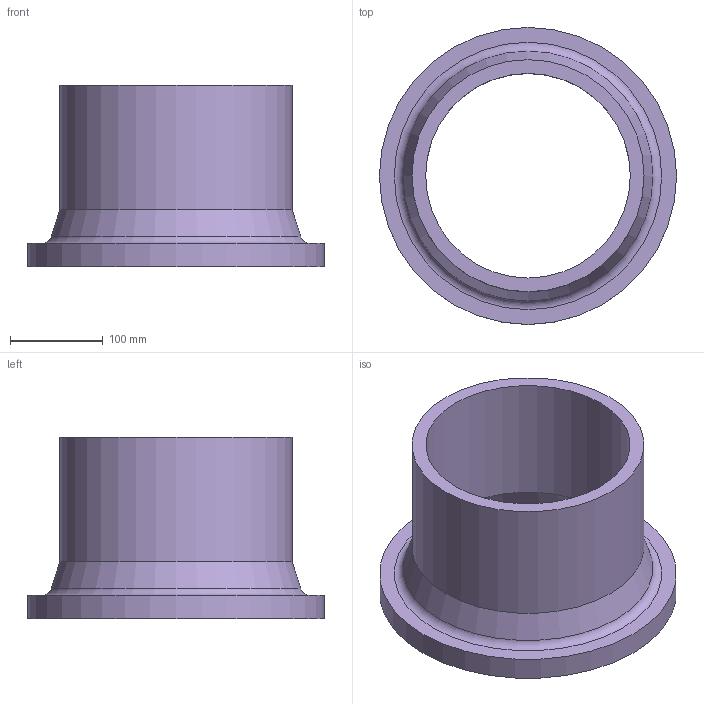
import cadquery as cq

total_height = 195.0
pipe_diameter = 250.0
pipe_wall = 14.8
flange_diameter = 320.0
flange_thickness = 25.0
hub_base_diameter = 273.5
hub_top_height = 61.0
hub_fillet_radius = 10.0
bore_flare_height = 54.5
bore_mouth_diameter = 261.0

pipe_radius = pipe_diameter / 2
bore_radius = pipe_radius - pipe_wall
flange_radius = flange_diameter / 2
hub_base_radius = hub_base_diameter / 2
bore_mouth_radius = bore_mouth_diameter / 2


def revolve_outline(points):
    """Revolve a closed (radius, height) outline about the Z axis."""
    return cq.Workplane("XZ").polyline(points).close().revolve(360, (0, 0, 0), (0, 1, 0))


def make_outer_body():
    """Flange, conical hub and pipe, with the hub rounded into the flange."""
    body = revolve_outline([
        (0, 0),
        (flange_radius, 0),
        (flange_radius, flange_thickness),
        (hub_base_radius, flange_thickness),
        (pipe_radius, hub_top_height),
        (pipe_radius, total_height),
        (0, total_height),
    ])
    hub_base = cq.selectors.RadiusNthSelector(-2)
    return body.edges("%CIRCLE").edges(hub_base).fillet(hub_fillet_radius)


def make_bore():
    """Through bore, straight in the pipe and flared toward the bottom face."""
    return revolve_outline([
        (0, 0),
        (bore_mouth_radius, 0),
        (bore_radius, bore_flare_height),
        (bore_radius, total_height),
        (0, total_height),
    ])


result = make_outer_body().cut(make_bore())